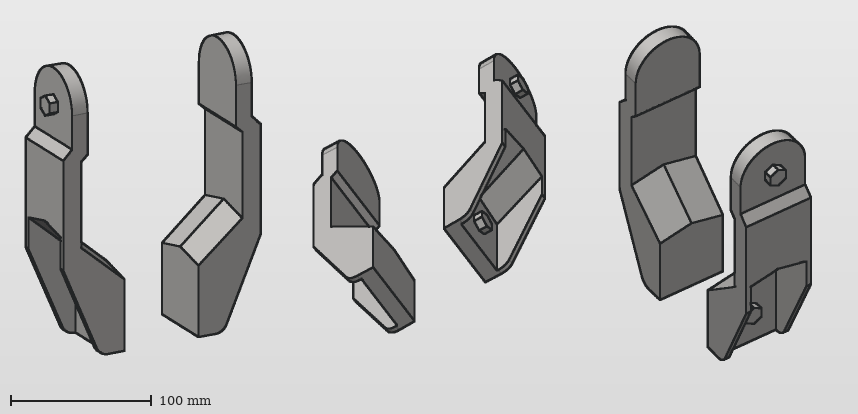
import cadquery as cq
import math

HEIGHT = 213.0
WIDTH = 55.8
OVERALL_DEPTH = 160.0
OUTER_Y = -OVERALL_DEPTH / 2

DRAFT = 1.0

LUG_OFFSET = 7.2
LUG_THICKNESS = 12.8
JOG_TOP = 159.7
JOG_BOTTOM = 152.5
INNER_JOG_TOP = 153.8
INNER_JOG_BOTTOM = 149.0

PLATE_THICKNESS = 15.0
PADDLE_DEPTH = 50.0
BACK_BEND = 69.6
BOTTOM_LENGTH = 20.0
CORNER_RADIUS = 10.0
RIDGE_HIGH = 89.9
RIDGE_LOW = 59.8
GABLE_DROP = 6.0

WALL = 4.0
POCKET_DEPTH = 37.7

HEX_FLATS = 13.2
HEX_DIAMETER = HEX_FLATS / math.cos(math.pi / 6)
HEX_HEIGHT = 6.5
LOWER_HEX_Z = 30.0

DRAFT_SLOPE = math.tan(math.radians(DRAFT))
END_RADIUS = WIDTH / 2
LUG_CENTER_Z = HEIGHT - (END_RADIUS - LUG_OFFSET * DRAFT_SLOPE)
LUG_OUTER_Y = OUTER_Y + LUG_OFFSET
LUG_INNER_Y = LUG_OUTER_Y + LUG_THICKNESS
PLATE_INNER_Y = OUTER_Y + PLATE_THICKNESS
PADDLE_Y = OUTER_Y + PADDLE_DEPTH
POCKET_FLOOR_Y = OUTER_Y + POCKET_DEPTH
ROOF_SLOPE = (RIDGE_LOW - RIDGE_HIGH) / (PADDLE_Y - PLATE_INNER_Y)


def ridge_height(y):
    """Height of the roof ridge, extended along its slope, at depth y."""
    return RIDGE_HIGH + ROOF_SLOPE * (y - PLATE_INNER_Y)


def gabled_section(width, y, roof_gap):
    """House-shaped wire at depth y, its roof lowered by roof_gap."""
    half = width / 2
    ridge = ridge_height(y) - roof_gap
    eave = ridge - GABLE_DROP * width / WIDTH
    return cq.Wire.makePolygon(
        [
            cq.Vector(-half, y, 0),
            cq.Vector(half, y, 0),
            cq.Vector(half, y, eave),
            cq.Vector(0, y, ridge),
            cq.Vector(-half, y, eave),
        ],
        close=True,
    )


def gabled_block(start_width, end_width, start_y, end_y, roof_gap):
    """Block with a sloping gabled roof and a width that may change along Y."""
    sections = [
        gabled_section(start_width, start_y, roof_gap),
        gabled_section(end_width, end_y, roof_gap),
    ]
    return cq.Workplane(obj=cq.Solid.makeLoft(sections, True))


def side_extrusion(points):
    """Extrude a (y, z) outline across the full width."""
    return cq.Workplane("YZ").polyline(points).close().extrude(WIDTH / 2, both=True)


def make_strap():
    """Plate and offset lug, straight-sided and square-ended."""
    return side_extrusion(
        [
            (OUTER_Y, 0),
            (OUTER_Y, JOG_BOTTOM),
            (LUG_OUTER_Y, JOG_TOP),
            (LUG_OUTER_Y, HEIGHT),
            (LUG_INNER_Y, HEIGHT),
            (LUG_INNER_Y, INNER_JOG_TOP),
            (PLATE_INNER_Y, INNER_JOG_BOTTOM),
            (PLATE_INNER_Y, 0),
        ]
    )


def make_drafted_outline():
    """Round-topped outline, tapering from the outer face toward +Y.

    It runs below the arm so that the taper leaves the flat bottom alone.
    """
    return (
        cq.Workplane("XZ", origin=(0, OUTER_Y, 0))
        .moveTo(-END_RADIUS, -END_RADIUS)
        .lineTo(-END_RADIUS, LUG_CENTER_Z)
        .threePointArc((0, LUG_CENTER_Z + END_RADIUS), (END_RADIUS, LUG_CENTER_Z))
        .lineTo(END_RADIUS, -END_RADIUS)
        .close()
        .extrude(-PADDLE_DEPTH, taper=DRAFT)
    )


def make_back_cut():
    """Wedge that slopes the lower outer face and rounds its bottom corner."""
    corner_y = PADDLE_Y - BOTTOM_LENGTH
    envelope = (
        side_extrusion(
            [
                (PADDLE_Y, 0),
                (corner_y, 0),
                (OUTER_Y, BACK_BEND),
                (OUTER_Y, HEIGHT),
                (PADDLE_Y, HEIGHT),
            ]
        )
        .edges(cq.selectors.NearestToPointSelector((0, corner_y, 0)))
        .fillet(CORNER_RADIUS)
    )
    return side_extrusion(
        [(OUTER_Y, 0), (PADDLE_Y, 0), (PADDLE_Y, HEIGHT), (OUTER_Y, HEIGHT)]
    ).cut(envelope)


def make_hex_head(base_y, z):
    """Hexagonal head pointing outward, with corners at top and bottom."""
    return (
        cq.Workplane("XZ", origin=(0, base_y, z))
        .transformed(rotate=(0, 0, 90))
        .polygon(6, HEX_DIAMETER)
        .extrude(HEX_HEIGHT)
    )


def make_arm():
    """Front arm, with its paddle pointing toward +Y."""
    paddle = gabled_block(WIDTH, WIDTH, PLATE_INNER_Y, PADDLE_Y, 0)
    pocket_width = WIDTH - 2 * WALL
    floor_width = pocket_width - 2 * POCKET_DEPTH * DRAFT_SLOPE
    pocket = gabled_block(pocket_width, floor_width, OUTER_Y, POCKET_FLOOR_Y, WALL)
    arm = make_strap().union(paddle).intersect(make_drafted_outline())
    arm = arm.cut(make_back_cut()).cut(pocket)
    arm = arm.union(make_hex_head(LUG_OUTER_Y, LUG_CENTER_Z))
    return arm.union(make_hex_head(POCKET_FLOOR_Y, LOWER_HEX_Z))


front_arm = make_arm()
arms = [front_arm.rotate((0, 0, 0), (0, 0, 1), angle).val() for angle in (0, 180)]

result = cq.Compound.makeCompound(arms)